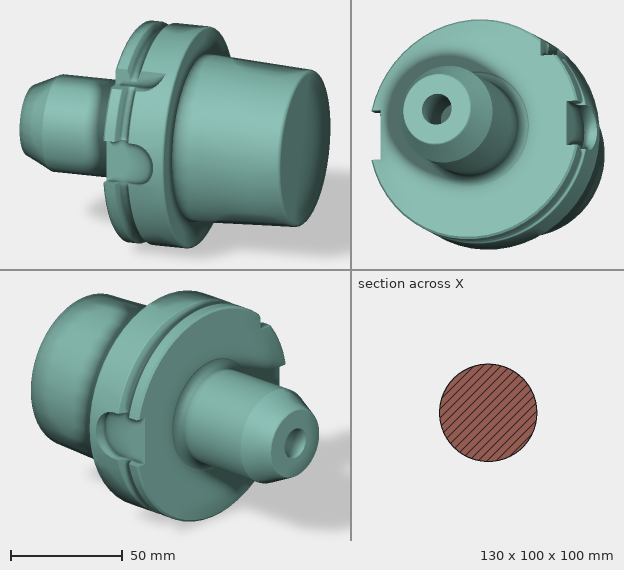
import cadquery as cq
import math

total_length = 130.0
cone_end = 12.9
nose_end = 46.8
flange_front = 51.0
flange_back = 80.0

nose_radius = 44.0 / 2
nose_tip_radius = 16.1
tip_chamfer = 0.4
bore_diameter = 14.0
bore_depth = 26.0

neck_radius = 43.8 / 2
neck_fillet = 3.6
recess_depth = 0.3
recess_radius = 26.1

flange_radius = 100.0 / 2
flange_chamfer = 0.9
flange_rounding = 1.0
groove_center = 59.8
groove_floor_radius = 46.0
groove_floor_width = 3.0
groove_wall_angle = 24.0
groove_rounding = 0.8

shank_base_radius = 37.8
shank_end_radius = 35.4
shank_rounding = 1.5

slot_tip = 75.3
slot_corner_radius = 10.0
slot_depth = 6.0
narrow_slot_width = 2 * slot_corner_radius
wide_slot_width = 22.4
notch_offset = 31.52
notch_floor_end = slot_tip - slot_corner_radius


def make_body():
    """Revolve the turned outline about the X axis."""
    recess_floor = flange_front + recess_depth
    fillet_x = recess_floor - neck_fillet
    fillet_r = neck_radius + neck_fillet
    fillet_reach = neck_fillet * math.sqrt(0.5)
    outline = (
        cq.Workplane("XY")
        .lineTo(0, nose_tip_radius - tip_chamfer)
        .lineTo(tip_chamfer, nose_tip_radius)
        .lineTo(cone_end, nose_radius)
        .lineTo(nose_end, nose_radius)
        .lineTo(nose_end, neck_radius)
        .lineTo(fillet_x, neck_radius)
        .threePointArc((fillet_x + fillet_reach, fillet_r - fillet_reach), (recess_floor, fillet_r))
        .lineTo(flange_front, recess_radius)
        .lineTo(flange_front, flange_radius - flange_chamfer)
        .lineTo(flange_front + flange_chamfer, flange_radius)
        .lineTo(flange_back, flange_radius)
        .lineTo(flange_back, shank_base_radius)
        .lineTo(total_length, shank_end_radius)
        .lineTo(total_length, 0)
        .close()
    )
    body = outline.revolve(360, (0, 0, 0), (1, 0, 0))
    body = rounded_rim(body, flange_back, flange_radius, flange_rounding)
    return rounded_rim(body, total_length, shank_end_radius, shank_rounding)


def rounded_rim(body, x, radius, rounding):
    """Round the circular edge of the given radius at station x."""
    margin = 0.06
    outer = radius + margin
    inner = radius - margin
    rim = cq.selectors.BoxSelector(
        (x - margin, -outer, -outer), (x + margin, outer, outer), boundingbox=True
    )
    inside = cq.selectors.BoxSelector(
        (x - margin, -inner, -inner), (x + margin, inner, inner), boundingbox=True
    )
    return body.edges(rim - inside).fillet(rounding)


def cut_gripper_groove(body):
    """Cut the V-walled groove around the flange and round its four corners."""
    half_floor = groove_floor_width / 2
    depth = flange_radius - groove_floor_radius
    half_mouth = half_floor + depth * math.tan(math.radians(groove_wall_angle))
    clearance = 1.3
    cutter = (
        cq.Workplane("XY")
        .moveTo(groove_center - half_floor, groove_floor_radius)
        .lineTo(groove_center - half_mouth, flange_radius)
        .lineTo(groove_center - half_mouth, flange_radius + clearance)
        .lineTo(groove_center + half_mouth, flange_radius + clearance)
        .lineTo(groove_center + half_mouth, flange_radius)
        .lineTo(groove_center + half_floor, groove_floor_radius)
        .close()
        .revolve(360, (0, 0, 0), (1, 0, 0))
    )
    body = body.cut(cutter)
    for side in (-1, 1):
        body = rounded_rim(body, groove_center + side * half_mouth, flange_radius, groove_rounding)
        body = rounded_rim(body, groove_center + side * half_floor, groove_floor_radius, groove_rounding)
    return body


def drive_slot(width, side):
    """Slot open at the flange front, with rounded inner corners, on the -Y or +Y side."""
    floor = flange_radius - slot_depth
    half_width = width / 2
    arc_x = slot_tip - slot_corner_radius
    arc_reach = slot_corner_radius * math.sqrt(0.5)
    straight = half_width - slot_corner_radius
    outline = (
        cq.Workplane("XZ", origin=(0, side * floor, 0))
        .moveTo(flange_front, -half_width)
        .lineTo(arc_x, -half_width)
        .threePointArc((arc_x + arc_reach, -straight - arc_reach), (slot_tip, -straight))
    )
    if straight > 0:
        outline = outline.lineTo(slot_tip, straight)
    outline = (
        outline
        .threePointArc((arc_x + arc_reach, straight + arc_reach), (arc_x, half_width))
        .lineTo(flange_front, half_width)
        .close()
    )
    return outline.extrude(-side * 2 * slot_depth)


def orientation_notch():
    """Corner notch at -Y +Z whose floor curves upward at its inner end."""
    height = flange_radius - notch_offset
    arc_reach = slot_corner_radius * math.sqrt(0.5)
    arc_z = notch_offset + slot_corner_radius
    return (
        cq.Workplane("XZ", origin=(0, -notch_offset, 0))
        .moveTo(flange_front, notch_offset)
        .lineTo(notch_floor_end, notch_offset)
        .threePointArc((notch_floor_end + arc_reach, arc_z - arc_reach), (slot_tip, arc_z))
        .lineTo(slot_tip, notch_offset + height)
        .lineTo(flange_front, notch_offset + height)
        .close()
        .extrude(height)
    )


bore = cq.Workplane("YZ").circle(bore_diameter / 2).extrude(bore_depth)

result = (
    cut_gripper_groove(make_body())
    .cut(bore)
    .cut(drive_slot(narrow_slot_width, -1))
    .cut(drive_slot(wide_slot_width, 1))
    .cut(orientation_notch())
)